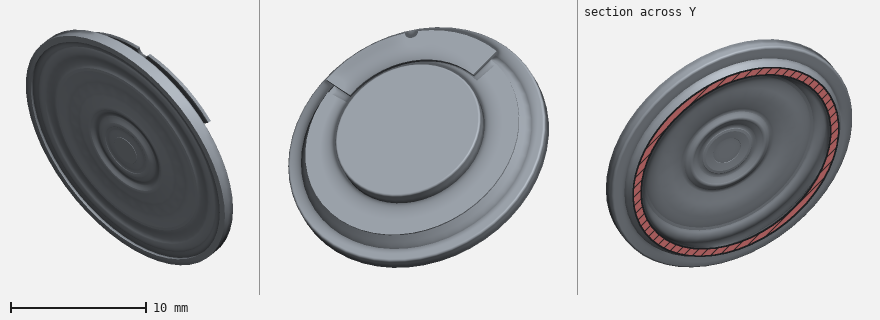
import cadquery as cq
import math


flange_radius = 10.0
flange_depth = 1.0
flange_fillet = 0.18
basket_front_radius = 8.95
basket_back_radius = 8.3
lip_front = 1.88
lip_back = 2.0
magnet_radius = 5.65
magnet_back = 3.1
magnet_fillet = 0.15
cavity_back_radius = 7.8
cavity_back = 1.6

seat_radius = 9.48
seat_front = 0.2
film_thickness = 0.08
seat_back = seat_front + film_thickness
rim_inner_radius = 8.95
roll_outer_radius = 8.88
roll_middle_radius = 8.22
roll_inner_radius = 7.08
roll_front = 0.18
roll_bump_height = 0.05
roll_groove_depth = 0.12
cone_outer_radius = 6.85
cone_outer_front = 0.15
cone_middle_radius = 5.4
cone_middle_front = 0.25
cone_inner_radius = 3.85
crest_front = 0.05
crest_height = 0.02
crest_inner_radius = 3.55
groove_outer_radius = 3.18
groove_inner_radius = 2.85
groove_front = 0.2
groove_depth = 0.05
button_ridge_outer_radius = 2.38
button_ridge_inner_radius = 2.05
button_step_radius = 2.02
button_step_front = 0.05
button_outer_radius = 1.8
button_outer_front = 0.08
button_shoulder_radius = 1.15
button_cap_radius = 1.12
button_shoulder_front = 0.02
button_cap_front = 0.0

board_outer_radius = 9.02
board_inner_radius = 6.52
board_back = 2.15
board_half_angle = 47.2
board_notch_radius = 0.52
recess_inner_radius = 6.4
recess_half_angle = 52.0


def annular_sector(inner_radius, outer_radius, half_angle, front, back):
    """Sector plate centred on +Z, between two Y levels."""
    def point(radius, angle):
        return radius * math.sin(math.radians(angle)), radius * math.cos(math.radians(angle))

    return (
        cq.Workplane("XZ", origin=(0, front, 0))
        .moveTo(*point(inner_radius, -half_angle))
        .lineTo(*point(outer_radius, -half_angle))
        .threePointArc(point(outer_radius, 0), point(outer_radius, half_angle))
        .lineTo(*point(inner_radius, half_angle))
        .threePointArc(point(inner_radius, 0), point(inner_radius, -half_angle))
        .close()
        .extrude(front - back)
    )


def revolve_about_y(profile):
    return profile.close().revolve(360, (0, 0, 0), (0, 1, 0))


def make_frame():
    """Flanged conical basket, closed at the back by the magnet housing."""
    profile = (
        cq.Workplane("XY")
        .moveTo(0, cavity_back)
        .lineTo(cavity_back_radius, cavity_back)
        .lineTo(rim_inner_radius, seat_back)
        .lineTo(seat_radius, seat_back)
        .lineTo(seat_radius, 0)
        .lineTo(flange_radius, 0)
        .lineTo(flange_radius, flange_depth - flange_fillet)
        .radiusArc((flange_radius - flange_fillet, flange_depth), -flange_fillet)
        .lineTo(basket_front_radius, flange_depth)
        .lineTo(basket_back_radius, lip_front)
        .lineTo(basket_back_radius, lip_back)
        .lineTo(magnet_radius, lip_back)
        .lineTo(magnet_radius, magnet_back - magnet_fillet)
        .radiusArc((magnet_radius - magnet_fillet, magnet_back), -magnet_fillet)
        .lineTo(0, magnet_back)
    )
    board_recess = annular_sector(
        recess_inner_radius, board_outer_radius, recess_half_angle, lip_front, lip_back
    )
    return revolve_about_y(profile).cut(board_recess)


def trace_film(offset):
    """Outline of one face of the film, from its rim to the axis, shifted along Y."""
    def point(radius, front):
        return radius, front + offset

    def middle(first_radius, last_radius, front):
        return point((first_radius + last_radius) / 2, front)

    return (
        cq.Workplane("XY")
        .moveTo(*point(seat_radius, seat_front))
        .lineTo(*point(rim_inner_radius, seat_front))
        .lineTo(*point(roll_outer_radius, roll_front))
        .threePointArc(
            middle(roll_outer_radius, roll_middle_radius, roll_front - roll_bump_height),
            point(roll_middle_radius, roll_front),
        )
        .threePointArc(
            middle(roll_middle_radius, roll_inner_radius, roll_front + roll_groove_depth),
            point(roll_inner_radius, roll_front),
        )
        .lineTo(*point(cone_outer_radius, cone_outer_front))
        .threePointArc(
            point(cone_middle_radius, cone_middle_front),
            point(cone_inner_radius, crest_front),
        )
        .threePointArc(
            middle(cone_inner_radius, crest_inner_radius, crest_front - crest_height),
            point(crest_inner_radius, crest_front),
        )
        .lineTo(*point(groove_outer_radius, groove_front))
        .threePointArc(
            middle(groove_outer_radius, groove_inner_radius, groove_front + groove_depth),
            point(groove_inner_radius, groove_front),
        )
        .lineTo(*point(button_ridge_outer_radius, crest_front))
        .threePointArc(
            middle(button_ridge_outer_radius, button_ridge_inner_radius, crest_front - crest_height),
            point(button_ridge_inner_radius, crest_front),
        )
        .lineTo(*point(button_step_radius, button_step_front))
        .lineTo(*point(button_outer_radius, button_outer_front))
        .lineTo(*point(button_shoulder_radius, button_shoulder_front))
        .lineTo(*point(button_cap_radius, button_cap_front))
        .lineTo(*point(0, button_cap_front))
    )


def make_diaphragm():
    """Thin film: flat rim, surround roll, shallow cone, groove and centre button."""
    def solid_behind(offset):
        outline = trace_film(offset)
        return revolve_about_y(outline.lineTo(0, cavity_back).lineTo(seat_radius, cavity_back))

    return solid_behind(0).cut(solid_behind(film_thickness))


def make_terminal_board():
    """Sector board on the basket back, with a round notch in its outer edge."""
    board = annular_sector(
        board_inner_radius, board_outer_radius, board_half_angle, lip_front, board_back
    )
    notch = (
        cq.Workplane("XZ", origin=(0, lip_front, board_outer_radius))
        .circle(board_notch_radius)
        .extrude(lip_front - board_back)
    )
    return board.cut(notch)


frame = make_frame()
diaphragm = make_diaphragm()
terminal_board = make_terminal_board()

result = cq.Compound.makeCompound(
    [
        *frame.solids().vals(),
        *diaphragm.solids().vals(),
        *terminal_board.solids().vals(),
    ]
)